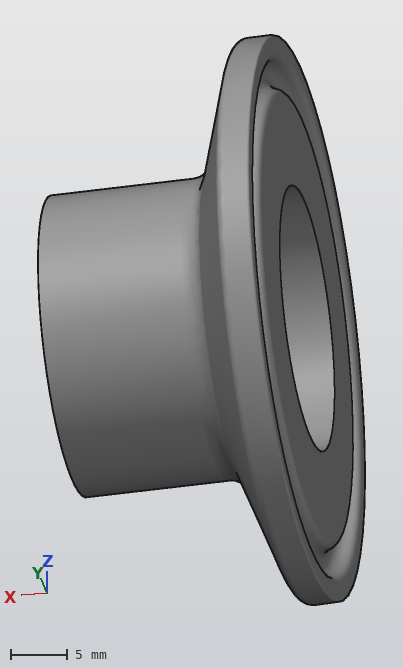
import cadquery as cq
import math

length = 21.5
flange_radius = 50.5 / 2
tube_radius = 26.9 / 2
bore_radius = 23.7 / 2

rim_thickness = 2.85
cone_angle = math.radians(20)
cone_end = rim_thickness + (flange_radius - tube_radius) * math.tan(cone_angle)

front_edge_radius = 0.2
back_edge_radius = 0.8
neck_radius = 2.0

groove_radius = 43.5 / 2
groove_half_width = 2.0
groove_depth = 1.6
groove_bottom_radius = 1.2
groove_lip_radius = 0.8


def ferrule_body():
    """Flange, cone and tube revolved around X, with all outside edges rounded."""
    profile = (
        cq.Workplane("XZ")
        .moveTo(0, bore_radius)
        .lineTo(0, flange_radius)
        .lineTo(rim_thickness, flange_radius)
        .lineTo(cone_end, tube_radius)
        .lineTo(length, tube_radius)
        .lineTo(length, bore_radius)
        .close()
    )
    body = revolve_about_x(profile)
    body = round_edge(body, 0, flange_radius, front_edge_radius)
    body = round_edge(body, rim_thickness, flange_radius, back_edge_radius)
    return round_edge(body, cone_end, tube_radius, neck_radius)


def round_edge(body, x, radius, fillet_radius):
    """Fillet the circular edge of the given radius that lies at the given x."""
    margin = 0.01
    reach = radius + margin
    circles = cq.selectors.BoxSelector(
        (x - margin, -reach, -reach),
        (x + margin, reach, reach),
        boundingbox=True,
    )
    outermost = cq.selectors.RadiusNthSelector(-1)
    return body.edges(circles).edges(outermost).fillet(fillet_radius)


def revolve_about_x(profile):
    """Solid of revolution of a closed XZ profile about the X axis."""
    return profile.revolve(360, (0, 0, 0), (1, 0, 0))


def groove_cutter():
    """Ring that cuts the gasket groove, symmetric about the groove radius."""
    bottom_centre = groove_depth - groove_bottom_radius
    centre_gap = math.hypot(groove_half_width, groove_lip_radius - bottom_centre)
    centre_tilt = math.atan2(groove_lip_radius - bottom_centre, groove_half_width)
    flank_angle = math.acos((groove_bottom_radius + groove_lip_radius) / centre_gap) + centre_tilt

    def bottom_point(angle, side):
        x = bottom_centre + groove_bottom_radius * math.sin(angle)
        return (x, groove_radius + side * groove_bottom_radius * math.cos(angle))

    def lip_point(angle, side):
        x = groove_lip_radius * (1 - math.sin(angle))
        return (x, groove_radius + side * (groove_half_width - groove_lip_radius * math.cos(angle)))

    lip_middle = (flank_angle + math.pi / 2) / 2
    profile = (
        cq.Workplane("XZ")
        .moveTo(*lip_point(math.pi / 2, 1))
        .threePointArc(lip_point(lip_middle, 1), lip_point(flank_angle, 1))
        .lineTo(*bottom_point(flank_angle, 1))
        .threePointArc((groove_depth, groove_radius), bottom_point(flank_angle, -1))
        .lineTo(*lip_point(flank_angle, -1))
        .threePointArc(lip_point(lip_middle, -1), lip_point(math.pi / 2, -1))
        .close()
    )
    return revolve_about_x(profile)


result = ferrule_body().cut(groove_cutter())